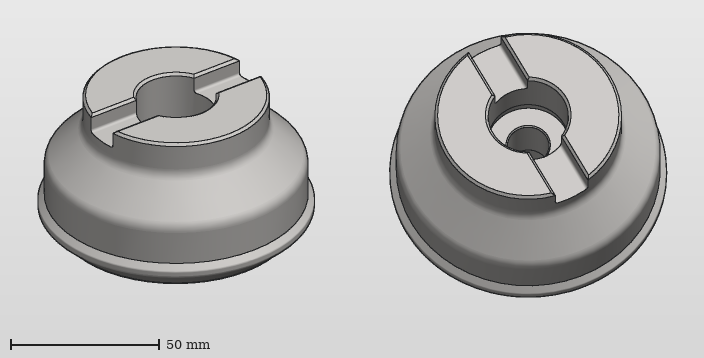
import cadquery as cq
import math

total_height = 50.1
ring_height = 10.8

neck_radius = 31.5
shoulder_radius = 89.0 / 2
shoulder_start = 22.8
blend_radius = 5.0
edge_chamfer = 0.9
bore_radius = 27.0 / 2
bore_depth = 22.0
relief_radius = 28 / 2
relief_depth = 18.4
screw_hole_radius = 14 / 2
screw_hole_chamfer = 0.5
slot_width = 12.4
slot_depth = 6.7
slot_fillet = 1.0

rim_radius = 46.7
rim_bottom = 6.4
rim_top_fillet = 0.75
rim_bottom_fillet = 1.2
foot_radius = 40.0
foot_height = 0.3


def make_hub_blank():
    """Revolved hub: cylinder, rounded shoulder, 45 degree cone, rounded neck and chamfered top."""
    diagonal = math.sqrt(0.5)
    rise = blend_radius * diagonal
    inset = blend_radius - rise
    cone_bottom = (shoulder_radius - inset, shoulder_start + rise)
    cone_top_radius = neck_radius + inset
    cone_top_z = cone_bottom[1] + cone_bottom[0] - cone_top_radius

    half_arc_angle = math.radians(22.5)
    mid_inset = blend_radius * (1 - math.cos(half_arc_angle))
    mid_rise = blend_radius * math.sin(half_arc_angle)
    neck_start = cone_top_z + rise

    return (
        cq.Workplane("XZ")
        .moveTo(0, ring_height)
        .lineTo(shoulder_radius, ring_height)
        .lineTo(shoulder_radius, shoulder_start)
        .threePointArc((shoulder_radius - mid_inset, shoulder_start + mid_rise), cone_bottom)
        .lineTo(cone_top_radius, cone_top_z)
        .threePointArc((neck_radius + mid_inset, neck_start - mid_rise), (neck_radius, neck_start))
        .lineTo(neck_radius, total_height - edge_chamfer)
        .lineTo(neck_radius - edge_chamfer, total_height)
        .lineTo(0, total_height)
        .close()
        .revolve(360, (0, 0, 0), (0, 1, 0))
    )


def make_bore():
    """Stepped bore cutter with a chamfered mouth, a wider lower part and a chamfered screw hole."""
    bore_floor = total_height - bore_depth
    relief_top = total_height - relief_depth
    return (
        cq.Workplane("XZ")
        .moveTo(0, 0)
        .lineTo(screw_hole_radius, 0)
        .lineTo(screw_hole_radius, bore_floor - screw_hole_chamfer)
        .lineTo(screw_hole_radius + screw_hole_chamfer, bore_floor)
        .lineTo(relief_radius, bore_floor)
        .lineTo(relief_radius, relief_top)
        .lineTo(bore_radius, relief_top)
        .lineTo(bore_radius, total_height - edge_chamfer)
        .lineTo(bore_radius + edge_chamfer, total_height)
        .lineTo(0, total_height)
        .close()
        .revolve(360, (0, 0, 0), (0, 1, 0))
    )


def make_drive_slot():
    """Slot cutter along Y with rounded floor corners and chamfered top edges."""
    slot_floor = total_height - slot_depth
    slot_length = 2 * shoulder_radius
    slot = (
        cq.Workplane("XY", origin=(0, 0, slot_floor))
        .rect(slot_width, slot_length)
        .extrude(slot_depth)
        .edges("|Y and <Z")
        .fillet(slot_fillet)
    )
    half_width = slot_width / 2
    flare = (
        cq.Workplane("XZ", origin=(0, slot_length / 2, 0))
        .moveTo(-half_width, total_height - edge_chamfer)
        .lineTo(half_width, total_height - edge_chamfer)
        .lineTo(half_width + edge_chamfer, total_height)
        .lineTo(-half_width - edge_chamfer, total_height)
        .close()
        .extrude(slot_length)
    )
    return slot.union(flare)


def make_hub():
    return make_hub_blank().cut(make_bore()).cut(make_drive_slot())


def make_ring():
    """Revolved ring with cones above and below a rounded rim."""
    rim_top = ring_height - (rim_radius - shoulder_radius)
    ring = (
        cq.Workplane("XZ")
        .moveTo(screw_hole_radius, 0)
        .lineTo(foot_radius, 0)
        .lineTo(foot_radius, foot_height)
        .lineTo(rim_radius, rim_bottom)
        .lineTo(rim_radius, rim_top)
        .lineTo(shoulder_radius, ring_height)
        .lineTo(screw_hole_radius, ring_height)
        .close()
        .revolve(360, (0, 0, 0), (0, 1, 0))
    )
    for corner_z, radius in ((rim_top, rim_top_fillet), (rim_bottom, rim_bottom_fillet)):
        corner_box = cq.selectors.BoxSelector(
            (-rim_radius, -rim_radius, corner_z - radius / 2),
            (rim_radius, rim_radius, corner_z + radius / 2),
        )
        ring = ring.edges("%CIRCLE").edges(corner_box).fillet(radius)
    return ring


hub = make_hub()
ring = make_ring()

result = cq.Compound.makeCompound([hub.val(), ring.val()])